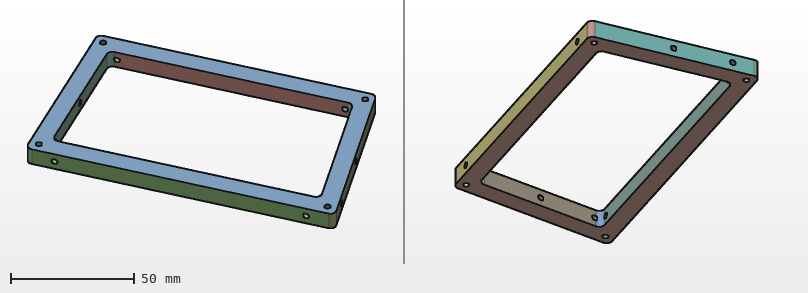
import cadquery as cq
import math

length = 131.5
width = 74.7
height = 8.0
rail = 8.0
side_lean = 5.0
outer_radius = 2.5
inner_radius = 2.5

hole_diameter = 2.5
corner_hole_y = 33.4
front_corner_hole_x = 61.5
rear_corner_hole_x = 55.9
front_hole_x = 53.7
rear_hole_x = 48.7
side_hole_ys = (0.5, -25.4)
drill_overrun = 0.7

lean = math.radians(side_lean)
half_width = width / 2
sharp_front_x = (
    length / 2 + outer_radius * math.tan(lean) + outer_radius * (1 / math.cos(lean) - 1)
)


def side_x(y, inset=0.0):
    """X of the +X side at y, moved inward by inset square to the side."""
    return sharp_front_x - (y + half_width) * math.tan(lean) - inset / math.cos(lean)


def rounded_trapezoid(inset, radius):
    """Trapezoidal block inset evenly from the outer outline."""
    y = half_width - inset
    front_x = side_x(-y, inset)
    rear_x = side_x(y, inset)
    outline = [(-front_x, -y), (front_x, -y), (rear_x, y), (-rear_x, y)]
    block = cq.Workplane("XY").polyline(outline).close().extrude(height)
    return block.edges("|Z").fillet(radius)


def rail_drill(x, y, direction):
    """Drill through one rail at mid height, entering at (x, y)."""
    inward = cq.Vector(*direction)
    start = cq.Vector(x, y, height / 2) - inward * drill_overrun
    drill = cq.Solid.makeCylinder(hole_diameter / 2, rail + 2 * drill_overrun, start, inward)
    return cq.Workplane(drill)


frame = rounded_trapezoid(0, outer_radius).cut(rounded_trapezoid(rail, inner_radius))

corner_holes = [
    (side * x, y)
    for side in (-1, 1)
    for x, y in ((front_corner_hole_x, -corner_hole_y), (rear_corner_hole_x, corner_hole_y))
]
frame = frame.cut(cq.Workplane("XY").pushPoints(corner_holes).circle(hole_diameter / 2).extrude(height))

for side in (-1, 1):
    frame = frame.cut(rail_drill(side * front_hole_x, -half_width, (0, 1, 0)))
    frame = frame.cut(rail_drill(side * rear_hole_x, half_width, (0, -1, 0)))
    for y in side_hole_ys:
        inward = (-side * math.cos(lean), -math.sin(lean), 0)
        frame = frame.cut(rail_drill(side * side_x(y), y, inward))

result = frame